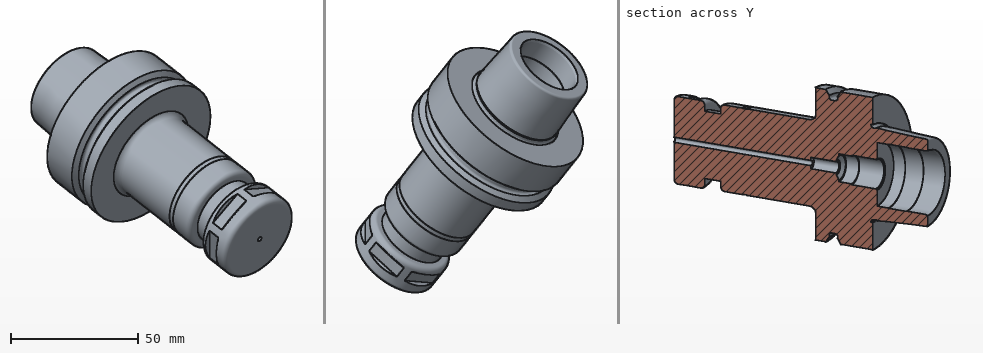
import cadquery as cq
import math

TOTAL_LENGTH = 115.0
CUTTER_MARGIN = 1.2

TAPER_RADIUS = 19.2
TAPER_END = 22.9
TAPER_SLOPE = 0.05
NOSE_ROUND = 0.9
NECK_RADIUS = 19.0
NECK_START = 23.6

FLANGE_RADIUS = 31.5
FLANGE_START = 25.0
FLANGE_END = 51.0
RECESS_DEPTH = 0.8
RECESS_ROUND = 1.2
GROOVE_LEFT_RIM = 39.6
GROOVE_LEFT_WALL = 41.0
GROOVE_RIGHT_WALL = 44.6
GROOVE_RIGHT_RIM = 46.2
GROOVE_SHOULDER_RADIUS = 29.2
GROOVE_FLOOR_RADIUS = 27.5
GROOVE_ROUND = 0.9

BODY_RADIUS = 17.9
BODY_END = 94.0
BODY_ROUND = 2.1
BAND_START = 81.9
BAND_END = 84.0
BAND_DEPTH = 0.1
FLARE_ROUND = 3.1
FLARE_HEIGHT = 1.7
SPINDLE_DIAMETER = 28.0

NUT_RADIUS = 18.2
NUT_START = 100.9
NUT_ROUND = 2.1

FLAT_COUNT = 6
FLAT_DISTANCE = 16.6
FLAT_START = 104.0
FLAT_END = 109.1
FLAT_WALL_SLOPE = 0.4

MOUTH_RADIUS = 13.0
MOUTH_DEPTH = 23.0
MOUTH_CHAMFER = 0.3
MOUTH_CHAMFER_LENGTH = 1.3
RELIEF_START = 9.5
RELIEF_END = 17.8
RELIEF_DEPTH = 0.1
PILOT_RADIUS = 6.0
PILOT_DEPTH = 11.5
PILOT_CHAMFER = 0.5
GUIDE_RADIUS = 5.6
GUIDE_DEPTH = 5.8
CONE_MOUTH_RADIUS = 5.1
CONE_END_RADIUS = 3.0
CONE_DEPTH = 1.2
FEED_DIAMETER = 4.5
FEED_DEPTH = 11.5
FEED_CHAMFER = 0.2
THROUGH_RADIUS = 0.98


def revolve_about_x(profile):
    """Close a profile and turn it a full revolution about the X axis."""
    return profile.close().revolve(360, (0, 0, 0), (1, 0, 0))


def arc_point(center_x, center_r, radius, angle):
    """Point on a circle of the profile plane, angle in degrees from +X."""
    a = math.radians(angle)
    return (center_x + radius * math.cos(a), center_r + radius * math.sin(a))


def rounded_cylinder(start, end, radius, start_round, end_round):
    """Cylinder along X whose two rims have their own edge rounds (0 for a sharp rim)."""
    body = cq.Workplane("YZ", origin=(start, 0, 0)).circle(radius).extrude(end - start)
    if start_round:
        body = body.faces("<X").edges().fillet(start_round)
    if end_round:
        body = body.faces(">X").edges().fillet(end_round)
    return body


def make_shank():
    """Taper with a rounded nose and a plain neck reaching into the flange."""
    nose_radius = TAPER_RADIUS - TAPER_SLOPE * TAPER_END
    profile = (
        cq.Workplane("XY")
        .lineTo(0, nose_radius)
        .lineTo(TAPER_END, TAPER_RADIUS)
        .lineTo(NECK_START, NECK_RADIUS)
        .lineTo(FLANGE_START + RECESS_DEPTH, NECK_RADIUS)
        .lineTo(FLANGE_START + RECESS_DEPTH, 0)
    )
    return revolve_about_x(profile).faces("<X").edges().fillet(NOSE_ROUND)


def make_flange():
    """Flange with a flared gripper groove and a round-bottomed recess around the neck."""
    recess_floor = FLANGE_START + RECESS_DEPTH
    round_start = recess_floor - RECESS_ROUND
    recess_radius = NECK_RADIUS + RECESS_ROUND
    groove_round_radius = GROOVE_FLOOR_RADIUS + GROOVE_ROUND
    left_round_x = GROOVE_LEFT_WALL + GROOVE_ROUND
    right_round_x = GROOVE_RIGHT_WALL - GROOVE_ROUND
    profile = (
        cq.Workplane("XY")
        .moveTo(round_start, 0)
        .lineTo(round_start, NECK_RADIUS)
        .threePointArc(
            arc_point(round_start, recess_radius, RECESS_ROUND, -45), (recess_floor, recess_radius)
        )
        .lineTo(FLANGE_START, recess_radius)
        .lineTo(FLANGE_START, FLANGE_RADIUS)
        .lineTo(GROOVE_LEFT_RIM, FLANGE_RADIUS)
        .lineTo(GROOVE_LEFT_WALL, GROOVE_SHOULDER_RADIUS)
        .lineTo(GROOVE_LEFT_WALL, groove_round_radius)
        .threePointArc(
            arc_point(left_round_x, groove_round_radius, GROOVE_ROUND, -135),
            (left_round_x, GROOVE_FLOOR_RADIUS),
        )
        .lineTo(right_round_x, GROOVE_FLOOR_RADIUS)
        .threePointArc(
            arc_point(right_round_x, groove_round_radius, GROOVE_ROUND, -45),
            (GROOVE_RIGHT_WALL, groove_round_radius),
        )
        .lineTo(GROOVE_RIGHT_WALL, GROOVE_SHOULDER_RADIUS)
        .lineTo(GROOVE_RIGHT_RIM, FLANGE_RADIUS)
        .lineTo(FLANGE_END, FLANGE_RADIUS)
        .lineTo(FLANGE_END, 0)
    )
    return revolve_about_x(profile)


def make_flare():
    """Concave flare that runs tangent into the body and meets the flange face at an angle."""
    center_r = BODY_RADIUS + FLARE_ROUND
    rim_angle = math.degrees(math.acos(1 - FLARE_HEIGHT / FLARE_ROUND))
    flare_length = FLARE_ROUND * math.sin(math.radians(rim_angle))
    center_x = FLANGE_END + flare_length
    profile = (
        cq.Workplane("XY")
        .moveTo(FLANGE_END, 0)
        .lineTo(FLANGE_END, BODY_RADIUS + FLARE_HEIGHT)
        .threePointArc(
            arc_point(center_x, center_r, FLARE_ROUND, -90 - rim_angle / 2), (center_x, BODY_RADIUS)
        )
        .lineTo(center_x, 0)
    )
    return revolve_about_x(profile)


def make_flat_cutters():
    """Trapezoidal cutters, one per wrench flat, with walls leaning outwards."""
    outer = NUT_RADIUS + CUTTER_MARGIN
    lean = FLAT_WALL_SLOPE * (outer - FLAT_DISTANCE)
    cutter = (
        cq.Workplane("XY")
        .moveTo(FLAT_START, -FLAT_DISTANCE)
        .lineTo(FLAT_END, -FLAT_DISTANCE)
        .lineTo(FLAT_END + lean, -outer)
        .lineTo(FLAT_START - lean, -outer)
        .close()
        .extrude(NUT_RADIUS, both=True)
    )
    cutters = cq.Workplane("XY")
    for index in range(FLAT_COUNT):
        cutters = cutters.add(cutter.rotate((0, 0, 0), (1, 0, 0), index * 360 / FLAT_COUNT))
    return cutters.combine()


def make_nut():
    """Clamping nut with rounded rims and wrench flats."""
    nut = rounded_cylinder(NUT_START, TOTAL_LENGTH, NUT_RADIUS, NUT_ROUND, NUT_ROUND)
    return nut.cut(make_flat_cutters())


def make_bore():
    """Stepped bore with a shallow mouth relief, ending in a small through hole."""
    pilot_end = MOUTH_DEPTH + PILOT_DEPTH
    guide_end = pilot_end + GUIDE_DEPTH
    cone_end = guide_end + CONE_DEPTH
    feed_radius = FEED_DIAMETER / 2
    feed_end = cone_end + FEED_DEPTH
    profile = (
        cq.Workplane("XY")
        .lineTo(0, MOUTH_RADIUS + MOUTH_CHAMFER)
        .lineTo(MOUTH_CHAMFER_LENGTH, MOUTH_RADIUS)
        .lineTo(RELIEF_START, MOUTH_RADIUS)
        .lineTo(RELIEF_START, MOUTH_RADIUS + RELIEF_DEPTH)
        .lineTo(RELIEF_END, MOUTH_RADIUS + RELIEF_DEPTH)
        .lineTo(RELIEF_END, MOUTH_RADIUS)
        .lineTo(MOUTH_DEPTH, MOUTH_RADIUS)
        .lineTo(MOUTH_DEPTH, PILOT_RADIUS + PILOT_CHAMFER)
        .lineTo(MOUTH_DEPTH + PILOT_CHAMFER, PILOT_RADIUS)
        .lineTo(pilot_end, PILOT_RADIUS)
        .lineTo(pilot_end, GUIDE_RADIUS)
        .lineTo(guide_end, GUIDE_RADIUS)
        .lineTo(guide_end, CONE_MOUTH_RADIUS)
        .lineTo(cone_end, CONE_END_RADIUS)
        .lineTo(cone_end, feed_radius + FEED_CHAMFER)
        .lineTo(cone_end + FEED_CHAMFER, feed_radius)
        .lineTo(feed_end, feed_radius)
        .lineTo(feed_end, THROUGH_RADIUS)
        .lineTo(TOTAL_LENGTH, THROUGH_RADIUS)
        .lineTo(TOTAL_LENGTH, 0)
    )
    return revolve_about_x(profile)


def make_body():
    """Cylindrical body with a rounded front rim and a shallow band cut around it."""
    band = rounded_cylinder(BAND_START, BAND_END, BODY_RADIUS + CUTTER_MARGIN, 0, 0)
    band_core = rounded_cylinder(BAND_START, BAND_END, BODY_RADIUS - BAND_DEPTH, 0, 0)
    body = rounded_cylinder(FLANGE_END, BODY_END, BODY_RADIUS, 0, BODY_ROUND)
    return body.cut(band.cut(band_core))


spindle = rounded_cylinder(BODY_END, NUT_START, SPINDLE_DIAMETER / 2, 0, 0)

result = (
    make_shank()
    .union(make_flange())
    .union(make_flare())
    .union(make_body())
    .union(spindle)
    .union(make_nut())
    .cut(make_bore())
)